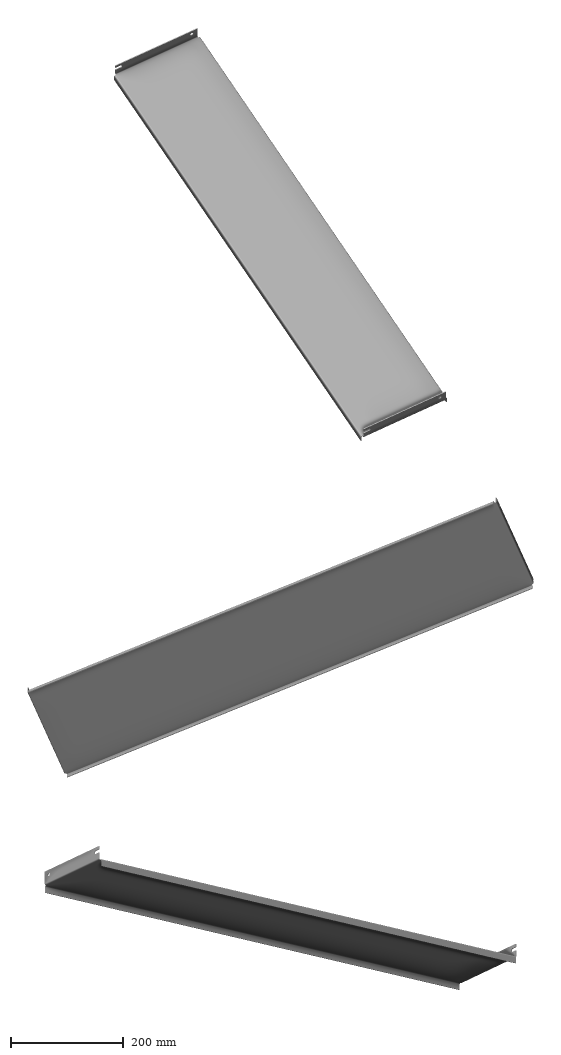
import cadquery as cq

length = 906.0
width = 175.0
height = 38.0

thickness = 1.5
outer_bend_radius = 3.0
inner_bend_radius = outer_bend_radius - thickness

lip_height = 14.0
lip_end_setback = 4.0
flange_width = 167.0
shelf_bottom = lip_height - thickness

opening_size = 6.0
opening_drop = 9.0
hole_inset = 12.0
slot_length = 14.0

lip_length = length - 2 * lip_end_setback
opening_z = height - opening_drop
hole_y = flange_width / 2 - hole_inset
slot_mouth_y = -flange_width / 2


def block(x_size, y_size, z_bottom, z_top):
    """Box centred on X and Y between two heights."""
    return (
        cq.Workplane("XY")
        .workplane(offset=z_bottom)
        .rect(x_size, y_size)
        .extrude(z_top - z_bottom)
    )


def lipped_shelf():
    """Flat shelf with a rounded fold down along each long side."""
    outside = block(lip_length, width, 0, lip_height)
    outside = outside.edges("|X and >Z").fillet(outer_bend_radius)
    inside = block(lip_length, width - 2 * thickness, 0, shelf_bottom)
    inside = inside.edges("|X and >Z").fillet(inner_bend_radius)
    return outside.cut(inside)


def end_flange_tray():
    """Flat shelf with a rounded fold up at each end."""
    outside = block(length, flange_width, shelf_bottom, height)
    outside = outside.edges("|Y and <Z").fillet(outer_bend_radius)
    inside = block(length - 2 * thickness, flange_width, lip_height, height)
    inside = inside.edges("|Y and <Z").fillet(inner_bend_radius)
    return outside.cut(inside)


def trim_corner_overlap(shelf):
    """Keep the flat shelf clear of the upward end bends."""
    flat_length = length - 2 * outer_bend_radius
    ends = block(length, flange_width, 0, height)
    ends = ends.cut(block(flat_length, flange_width, 0, height))
    return shelf.cut(ends)


def flange_openings():
    """Cutters for the round hole and the round-ended open slot, through both ends."""
    plane = cq.Workplane("YZ")
    hole = (
        plane.center(hole_y, opening_z)
        .circle(opening_size / 2)
        .extrude(length, both=True)
    )
    slot = (
        plane.center(slot_mouth_y, opening_z)
        .slot2D(2 * slot_length, opening_size)
        .extrude(length, both=True)
    )
    return hole.union(slot)


shelf = trim_corner_overlap(lipped_shelf())
result = shelf.union(end_flange_tray()).cut(flange_openings())